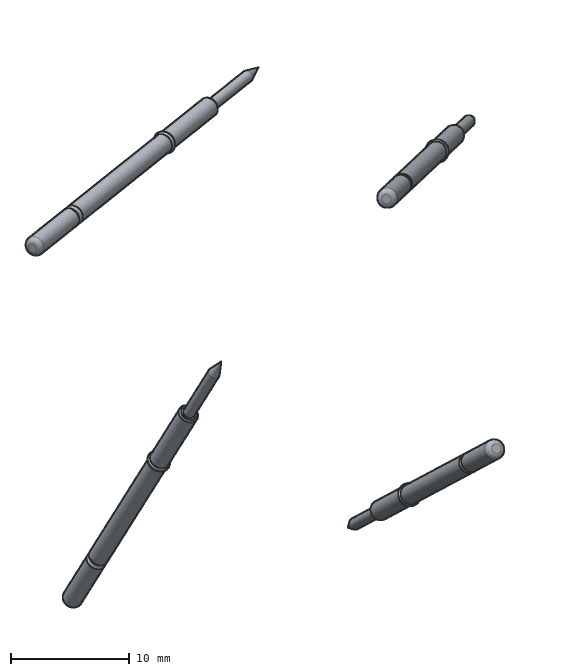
import cadquery as cq

total_length = 38.7
barrel_radius = 1.75 / 2
plunger_radius = 1.05 / 2
collar_radius = 2.0 / 2

tip_length = 1.9
plunger_length = 6.42
collar_width = 0.45
collar_start = 22.35
groove_start = 6.55
groove_width = 0.58

tail_round = 0.45
mouth_chamfer = 0.15
groove_depth = 0.2

tip_base = total_length - tip_length
barrel_end = tip_base - plunger_length


def revolve_about_axis(outline):
    """Turn a closed outline in the XY plane a full turn about the Y axis."""
    return outline.close().revolve(360, (0, 0, 0), (0, 1, 0))


def make_barrel():
    """Barrel with a rounded tail and a chamfered mouth."""
    barrel = cq.Workplane("XZ").circle(barrel_radius).extrude(-barrel_end)
    barrel = barrel.faces("<Y").edges().fillet(tail_round)
    return barrel.faces(">Y").edges().chamfer(mouth_chamfer)


def make_plunger():
    """Plunger rod with a conical tip."""
    return revolve_about_axis(
        cq.Workplane("XY")
        .moveTo(0, barrel_end - mouth_chamfer)
        .lineTo(plunger_radius, barrel_end - mouth_chamfer)
        .lineTo(plunger_radius, tip_base)
        .lineTo(0, total_length)
    )


def make_arc_ring(start, width, crest_radius):
    """Solid disc whose rim arcs from the barrel surface to crest_radius and back."""
    end = start + width
    return revolve_about_axis(
        cq.Workplane("XY")
        .moveTo(0, start)
        .lineTo(barrel_radius, start)
        .threePointArc((crest_radius, start + width / 2), (barrel_radius, end))
        .lineTo(0, end)
    )


def make_groove_cutter():
    """Ring that removes an arc-bottomed groove from the barrel."""
    sleeve = (
        cq.Workplane("XZ", origin=(0, groove_start, 0))
        .circle(collar_radius)
        .extrude(-groove_width)
    )
    return sleeve.cut(make_arc_ring(groove_start, groove_width, barrel_radius - groove_depth))


collar = make_arc_ring(collar_start, collar_width, collar_radius)
result = make_barrel().cut(make_groove_cutter()).union(collar).union(make_plunger())